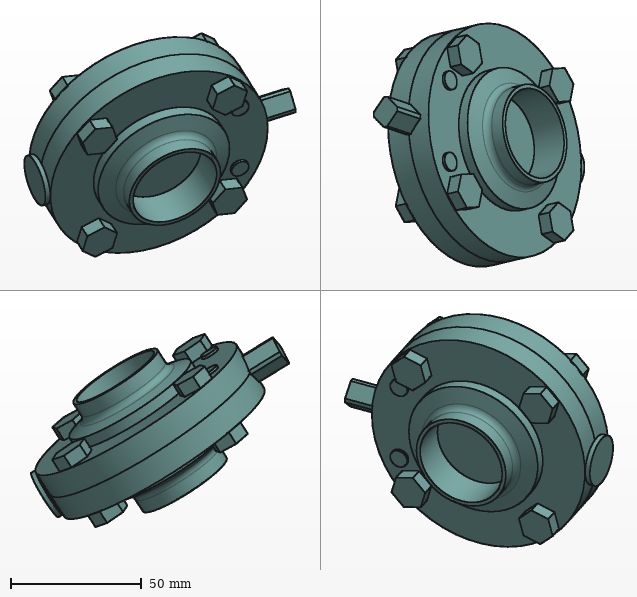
import cadquery as cq
import math


face_to_face = 50.0
flange_radius = 45.5
flange_thickness = 10.1
boss_radius = 27.5
boss_x = 14.5
pipe_radius = 19.1
pipe_end_x = face_to_face / 2
bore_radius = 17.5
neck_fillet_radius = 3.0
neck_fillet_end_x = 19.4
cone_angle = math.radians(18)

bolt_count = 4
bolt_circle_radius = 38.4
bolt_corner_diameter = 14.9
bolt_head_height = 5.4
button_y = 33.4
button_z = 16.2
button_radius = 3.6
button_height = 1.1

disc_half_thickness = flange_thickness
stem_radius = 6.6
cap_radius = 10.0
cap_thickness = 2.0
overall_length = 106.5
shank_end_y = overall_length - flange_radius - cap_thickness
shank_width = 9.6
shank_corner_radius = 6.0


def half_profile():
    """Outline of the +X half as (X, radius) points, from the bore outward."""
    arc_center_radius = pipe_radius + neck_fillet_radius

    def fillet_point(turn):
        return (
            neck_fillet_end_x - neck_fillet_radius * math.sin(turn),
            arc_center_radius - neck_fillet_radius * math.cos(turn),
        )

    full_turn = math.pi / 2 - cone_angle
    return (
        cq.Workplane("XY")
        .moveTo(0, bore_radius)
        .lineTo(0, flange_radius)
        .lineTo(flange_thickness, flange_radius)
        .lineTo(flange_thickness, boss_radius)
        .lineTo(boss_x, boss_radius)
        .lineTo(*fillet_point(full_turn))
        .threePointArc(fillet_point(full_turn / 2), fillet_point(0))
        .lineTo(pipe_end_x, pipe_radius)
        .lineTo(pipe_end_x, bore_radius)
        .close()
    )


def make_bolt_heads():
    """Hexagonal heads, each with one flat facing away from the pipe axis."""
    head = (
        cq.Workplane("YZ")
        .polygon(6, bolt_corner_diameter)
        .extrude(bolt_head_height)
        .rotate((0, 0, 0), (1, 0, 0), 30)
        .translate((flange_thickness, bolt_circle_radius, 0))
    )
    heads = []
    for i in range(bolt_count):
        angle = (i + 0.5) * 360 / bolt_count
        heads.append(head.rotate((0, 0, 0), (1, 0, 0), angle))
    return heads


def make_buttons():
    """Low round buttons on the flange face, on the shank side."""
    return (
        cq.Workplane("YZ", origin=(flange_thickness, 0, 0))
        .pushPoints([(button_y, -button_z), (button_y, button_z)])
        .circle(button_radius)
        .extrude(button_height)
    )


def make_stem():
    """Round stem with its cap on the -Y side and a square shank, its corners rounded, on the +Y side."""
    stem = cq.Workplane("XZ").circle(stem_radius).extrude(flange_radius)
    cap = (
        cq.Workplane("XZ", origin=(0, -flange_radius, 0))
        .circle(cap_radius)
        .extrude(cap_thickness)
    )
    rounding = cq.Workplane("XZ").circle(shank_corner_radius).extrude(-shank_end_y)
    shank = (
        cq.Workplane("XZ")
        .transformed(rotate=(0, 0, 45))
        .rect(shank_width, shank_width)
        .extrude(-shank_end_y)
        .intersect(rounding)
    )
    return stem.union(cap).union(shank)


def make_disc():
    """Disc that closes the bore, in one piece with the stem."""
    disc = (
        cq.Workplane("YZ", origin=(-disc_half_thickness, 0, 0))
        .circle(bore_radius)
        .extrude(2 * disc_half_thickness)
    )
    return disc.union(make_stem())


def make_flange_half():
    """The +X half: flange, boss, pipe stub, bolt heads and buttons, grooved for the stem."""
    half = half_profile().revolve(360, (0, 0, 0), (1, 0, 0))
    for head in make_bolt_heads():
        half = half.union(head)
    return half.union(make_buttons()).cut(make_stem())


valve_disc = make_disc()
right_half = make_flange_half()
left_half = right_half.mirror("YZ")

result = cq.Compound.makeCompound([left_half.val(), right_half.val(), valve_disc.val()])